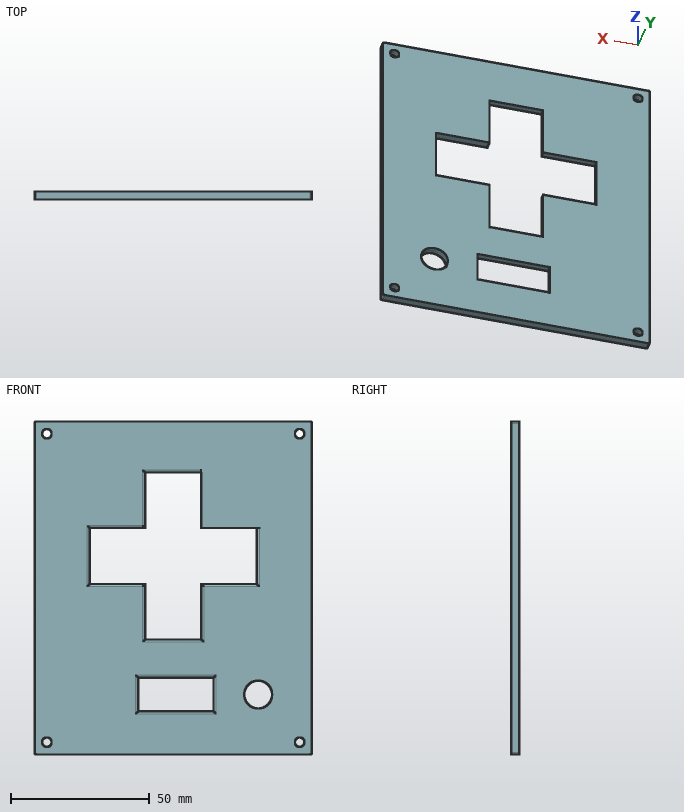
import cadquery as cq

width = 100.0
thickness = 3.0
height = 120.0
corner_radius = 0.7
front_y = -thickness / 2

screw_diameter = 3.4
screw_inset = 4.5

cross_span = 60.0
cross_arm = 20.0
cross_z = 11.5

slot_width = 27.0
slot_height = 12.0
slot_x = 1.0
lower_row_z = -38.4
button_diameter = 10.0
button_x = 30.6

rim_radius = 1.0
selection_margin = 0.1


def box(size_x, size_z, x, z):
    """Block spanning the plate thickness."""
    return cq.Workplane("XY").box(size_x, thickness, size_z).translate((x, 0, z))


def cross_window():
    """Cutter for the cross-shaped window."""
    upright = box(cross_arm, cross_span, 0, cross_z)
    crossbar = box(cross_span, cross_arm, 0, cross_z)
    return upright.union(crossbar)


def round_holes(points, diameter):
    """Cutter for round holes through the plate."""
    return (
        cq.Workplane("XZ")
        .pushPoints(points)
        .circle(diameter / 2)
        .extrude(thickness, both=True)
    )


def front_edges_within(size_x, size_z, x, z):
    """Selector for front-face edges whose centers lie in a rectangle around (x, z)."""
    reach_x = size_x / 2 + selection_margin
    reach_z = size_z / 2 + selection_margin
    return cq.selectors.BoxSelector(
        (x - reach_x, front_y - selection_margin, z - reach_z),
        (x + reach_x, front_y + selection_margin, z + reach_z),
    )


def sharp_corner_edges():
    """Selector for the two edges at the cross's upper-right inner corner, left sharp."""
    arm_length = (cross_span - cross_arm) / 2
    corner_x = cross_arm / 2
    corner_z = cross_z + cross_arm / 2
    center_x = corner_x + arm_length / 4
    center_z = corner_z + arm_length / 4
    return front_edges_within(arm_length / 2, arm_length / 2, center_x, center_z)


screw_x = width / 2 - screw_inset
screw_z = height / 2 - screw_inset
screw_points = [(sx * screw_x, sz * screw_z) for sx in (-1, 1) for sz in (-1, 1)]

cross_rim = front_edges_within(cross_span, cross_span, 0, cross_z) - sharp_corner_edges()
slot_rim = front_edges_within(slot_width, slot_height, slot_x, lower_row_z)

plate = box(width, height, 0, 0).edges("|Y").fillet(corner_radius)
result = (
    plate.cut(cross_window())
    .cut(box(slot_width, slot_height, slot_x, lower_row_z))
    .edges(cross_rim + slot_rim)
    .fillet(rim_radius)
    .cut(round_holes([(button_x, lower_row_z)], button_diameter))
    .cut(round_holes(screw_points, screw_diameter))
)